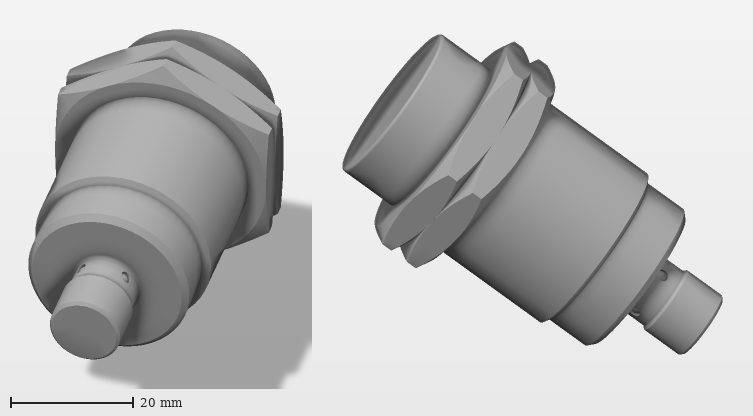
import cadquery as cq
import math

sensing_face = 0.0
nut_start = 10.0
nut_thickness = 5.0
nut_count = 2
nut_end = nut_start + nut_count * nut_thickness
thread_end = 42.0
housing_end = 50.5
head_start = 55.5
connector_end = 63.5

housing_diameter = 27.5
thread_diameter = 30.0
neck_diameter = 11.0
head_diameter = 12.0

sensing_fillet = 0.5
thread_chamfer_length = 0.75
housing_chamfer = 1.0
neck_fillet = 0.5
head_end_chamfer = 0.5

arc_middle_inset = 1 - math.sqrt(0.5)

nut_across_flats = 36.0
nut_sides = 6
nut_across_corners = nut_across_flats / math.cos(math.pi / nut_sides)
nut_chamfer_angle = 30.0

hole_count = 4
hole_diameter = 2.0
hole_depth = 0.6
dome_height = 0.5
hole_station = 52.5
first_hole_angle = 45.0


def revolve_on_axis(profile):
    """Revolve a profile, drawn as (radius, -station), around the Y axis."""
    return profile.close().revolve(360, (0, 0, 0), (0, 1, 0))


def make_body():
    """Turned housing, threaded barrel and connector as one stepped shaft."""
    housing_radius = housing_diameter / 2
    thread_radius = thread_diameter / 2
    neck_radius = neck_diameter / 2
    head_radius = head_diameter / 2
    head_back_bevel = head_radius - neck_radius
    sensing_inset = sensing_fillet * arc_middle_inset
    neck_inset = neck_fillet * arc_middle_inset
    profile = (
        cq.Workplane("XY")
        .moveTo(0, -sensing_face)
        .lineTo(housing_radius - sensing_fillet, -sensing_face)
        .threePointArc(
            (housing_radius - sensing_inset, -(sensing_face + sensing_inset)),
            (housing_radius, -(sensing_face + sensing_fillet)),
        )
        .lineTo(housing_radius, -nut_end)
        .lineTo(thread_radius, -nut_end)
        .lineTo(thread_radius, -(thread_end - thread_chamfer_length))
        .lineTo(housing_radius, -thread_end)
        .lineTo(housing_radius, -(housing_end - housing_chamfer))
        .lineTo(housing_radius - housing_chamfer, -housing_end)
        .lineTo(neck_radius + neck_fillet, -housing_end)
        .threePointArc(
            (neck_radius + neck_inset, -(housing_end + neck_inset)),
            (neck_radius, -(housing_end + neck_fillet)),
        )
        .lineTo(neck_radius, -head_start)
        .lineTo(head_radius, -(head_start + head_back_bevel))
        .lineTo(head_radius, -(connector_end - head_end_chamfer))
        .lineTo(head_radius - head_end_chamfer, -connector_end)
        .lineTo(0, -connector_end)
    )
    return revolve_on_axis(profile)


def make_nut(start):
    """Hexagonal nut with flats facing +X and -X and both faces chamfered."""
    end = start + nut_thickness
    face_radius = nut_across_flats / 2
    corner_radius = nut_across_corners / 2
    chamfer_length = (corner_radius - face_radius) * math.tan(math.radians(nut_chamfer_angle))
    hexagon = (
        cq.Workplane("XZ", origin=(0, -start, 0))
        .transformed(rotate=(0, 0, 90))
        .polygon(nut_sides, nut_across_corners)
        .extrude(nut_thickness)
    )
    chamfered_disc = revolve_on_axis(
        cq.Workplane("XY")
        .moveTo(0, -start)
        .lineTo(face_radius, -start)
        .lineTo(corner_radius, -(start + chamfer_length))
        .lineTo(corner_radius, -(end - chamfer_length))
        .lineTo(face_radius, -end)
        .lineTo(0, -end)
    )
    return hexagon.intersect(chamfered_disc)


def make_neck_hole(angle):
    """Cutter for one blind radial hole with a domed floor, turned about the Y axis."""
    hole_radius = hole_diameter / 2
    floor_edge = neck_diameter / 2 - hole_depth
    outer_end = head_diameter / 2
    dome_radius = (hole_radius**2 + dome_height**2) / (2 * dome_height)
    dome_centre = floor_edge + dome_height - dome_radius
    hole = (
        cq.Workplane("XY", origin=(0, -hole_station, floor_edge))
        .circle(hole_radius)
        .extrude(outer_end - floor_edge)
    )
    dome = cq.Workplane("XY", origin=(0, -hole_station, dome_centre)).sphere(dome_radius)
    return hole.cut(dome).rotate((0, 0, 0), (0, 1, 0), angle)


result = make_body()

for nut_index in range(nut_count):
    result = result.union(make_nut(nut_start + nut_index * nut_thickness))

for hole_index in range(hole_count):
    result = result.cut(make_neck_hole(first_hole_angle + hole_index * 360 / hole_count))